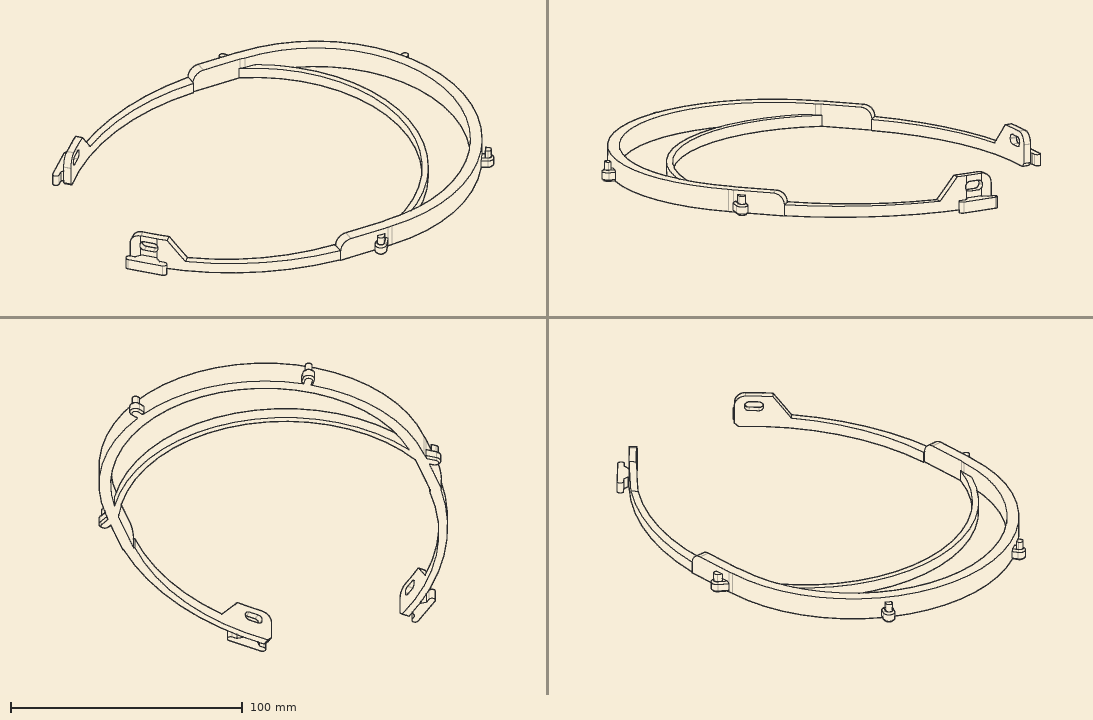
import cadquery as cq
import math

overall_length = 181.8

band_height = 10.0
low_height = band_height / 2
ear_height = 15.0

band_outer_radius = 71.8
band_center_y = overall_length / 2 - band_outer_radius
band_inner_radius = 66.7
arm_outer_x = 72.0
arm_inner_x = 67.0
arm_start_y = 16.9
arm_end_y = -6.0
arm_end_fillet = band_height - low_height

strap_center_y = -10.7
strap_outer_radius = 75.0
strap_inner_radius = 72.3

temple_outer_center = (-48.9, 3.0)
temple_outer_radius = 120.9
temple_inner_center = (-40.0, -3.8)
temple_inner_radius = 106.5

ear_slope_start = 14.9
ear_slope_end = 22.9
ear_end = 39.6
ear_top_fillet = 4.9
ear_bottom_chamfer = 1.8
seat_outward = 84.0

slot_length = 8.2
slot_height = 4.4
slot_center_z = 10.0
slot_corner_radius = 2.0

hook_center = 31.0
hook_outer_face = 89.0
prong_thickness = 2.9
prong_radius = prong_thickness / 2
prong_end = math.sqrt(2) * (overall_length / 2 - prong_radius) - (hook_outer_face - prong_radius)
hook_length = 2 * (prong_end + prong_radius - hook_center)
neck_width = 7.5
neck_straight = 0.4

front_pin_center = (39.0, 82.5)
front_pin_angle = -119
side_pin_center = (74.5, 12.2)
side_pin_angle = 145
pin_base_radius = 2.5
pin_base_chamfer = 0.9
peg_radius = 1.5
peg_top = 8.5
peg_gap = 1.6
pin_reach = 5.5
pin_embed = 1.8

tip_direction = cq.Vector(-1, -1, 0).normalized()
outward_direction = cq.Vector(1, -1, 0).normalized()
tip_plane = cq.Plane(origin=(0, 0, 0), xDir=tip_direction, normal=(0, 0, 1))
side_plane = cq.Plane(origin=(0, 0, 0), xDir=tip_direction, normal=outward_direction.multiply(-1))


def circle_x(center, radius, y):
    """X of the +X side of a circle at the given Y."""
    return center[0] + math.sqrt(radius**2 - (y - center[1]) ** 2)


def tip_point(center, radius, along):
    """Point where a circle reaches a distance along the tip direction, on its outward side."""
    center_vector = cq.Vector(*center, 0)
    offset = along - center_vector.dot(tip_direction)
    outward = center_vector.dot(outward_direction) + math.sqrt(radius**2 - offset**2)
    point = tip_direction.multiply(along) + outward_direction.multiply(outward)
    return point.x, point.y


def arc_middle(center, radius, start, end):
    """Point on a circle halfway between two of its points."""
    start_angle = math.atan2(start[1] - center[1], start[0] - center[0])
    end_angle = math.atan2(end[1] - center[1], end[0] - center[0])
    angle = (start_angle + end_angle) / 2
    return center[0] + radius * math.cos(angle), center[1] + radius * math.sin(angle)


def band_outline(radius, arm_x):
    """Closed half-round outline with straight arms."""
    return (
        cq.Workplane("XY")
        .moveTo(arm_x, arm_end_y)
        .lineTo(arm_x, arm_start_y)
        .lineTo(radius, band_center_y)
        .threePointArc((0, band_center_y + radius), (-radius, band_center_y))
        .lineTo(-arm_x, arm_start_y)
        .lineTo(-arm_x, arm_end_y)
        .close()
    )


def make_band():
    """Half ring and arms, rounded at the top of each arm's end."""
    outside = band_outline(band_outer_radius, arm_outer_x).extrude(band_height)
    inside = band_outline(band_inner_radius, arm_inner_x).extrude(band_height)
    band = outside.cut(inside)
    return band.faces("<Y").edges(">Z").fillet(arm_end_fillet)


def make_strap():
    """Thin arc whose ends run into the middle of the band wall."""
    ring = (
        cq.Workplane("XY")
        .center(0, strap_center_y)
        .circle(strap_outer_radius)
        .circle(strap_inner_radius)
        .extrude(low_height)
    )
    middle_radius = (band_outer_radius + band_inner_radius) / 2
    middle_arm_x = (arm_outer_x + arm_inner_x) / 2
    inside = band_outline(middle_radius, middle_arm_x).extrude(low_height)
    return ring.intersect(inside)


def temple_prism(height):
    """Tapering strip from the arm's end to the tip."""
    outer_start = (circle_x(temple_outer_center, temple_outer_radius, arm_end_y), arm_end_y)
    inner_start = (circle_x(temple_inner_center, temple_inner_radius, arm_end_y), arm_end_y)
    outer_end = tip_point(temple_outer_center, temple_outer_radius, ear_end)
    inner_end = tip_point(temple_inner_center, temple_inner_radius, ear_end)
    outer_middle = arc_middle(temple_outer_center, temple_outer_radius, outer_start, outer_end)
    inner_middle = arc_middle(temple_inner_center, temple_inner_radius, inner_end, inner_start)
    return (
        cq.Workplane("XY")
        .moveTo(*outer_start)
        .threePointArc(outer_middle, outer_end)
        .lineTo(*inner_end)
        .threePointArc(inner_middle, inner_start)
        .close()
        .extrude(height)
    )


def make_temple():
    """Temple strip with its raised ear plate, seat and slot, on the +X side."""
    reach = hook_outer_face
    profile = (
        cq.Workplane(side_plane)
        .moveTo(-reach, 0)
        .lineTo(-reach, low_height)
        .lineTo(ear_slope_start, low_height)
        .lineTo(ear_slope_end, ear_height)
        .lineTo(ear_end - ear_top_fillet, ear_height)
        .radiusArc((ear_end, ear_height - ear_top_fillet), ear_top_fillet)
        .lineTo(ear_end, ear_bottom_chamfer)
        .lineTo(ear_end - ear_bottom_chamfer, 0)
        .close()
        .extrude(2 * reach, both=True)
    )
    temple = temple_prism(ear_height).intersect(profile)
    seat_clearance = hook_outer_face - seat_outward
    seat = (
        cq.Workplane(tip_plane)
        .center(hook_center, seat_outward + seat_clearance / 2)
        .rect(neck_width, seat_clearance)
        .extrude(ear_height)
    )
    slot = (
        cq.Workplane(side_plane)
        .center(hook_center, slot_center_z)
        .rect(slot_length, slot_height)
        .extrude(-hook_outer_face)
        .edges("|(1,-1,0)")
        .fillet(slot_corner_radius)
    )
    return temple.cut(seat).cut(slot)


def make_pin(center, angle):
    """Peg standing on a rounded base that reaches into the band."""

    def finger(radius, height):
        block = cq.Workplane("XY").center(pin_reach / 2, 0).rect(pin_reach, 2 * radius).extrude(height)
        return block.union(cq.Workplane("XY").circle(radius).extrude(height))

    def place(shape):
        return shape.rotate((0, 0, 0), (0, 0, 1), angle).translate((*center, 0))

    base = place(finger(pin_base_radius, low_height).faces("<Z or >Z").chamfer(pin_base_chamfer))
    peg = place(finger(peg_radius, peg_top))
    clearance = band_outline(band_outer_radius + peg_gap, arm_outer_x + peg_gap).extrude(peg_top)
    band_core = band_outline(band_outer_radius - pin_embed, arm_outer_x - pin_embed).extrude(peg_top)
    return base.cut(band_core).union(peg.cut(clearance))


def make_clip():
    """T-shaped hook with two round-ended prongs, on the +X side."""
    prong_inner_face = hook_outer_face - prong_thickness
    bar = (
        cq.Workplane(tip_plane)
        .center(hook_center, hook_outer_face - prong_radius)
        .slot2D(hook_length, prong_thickness)
        .extrude(low_height)
    )
    half_neck = neck_width / 2
    flare_start = seat_outward + neck_straight
    half_flare = half_neck + prong_inner_face - flare_start
    neck = (
        cq.Workplane(tip_plane)
        .moveTo(hook_center - half_neck, seat_outward)
        .lineTo(hook_center + half_neck, seat_outward)
        .lineTo(hook_center + half_neck, flare_start)
        .lineTo(hook_center + half_flare, prong_inner_face)
        .lineTo(hook_center + half_flare, hook_outer_face)
        .lineTo(hook_center - half_flare, hook_outer_face)
        .lineTo(hook_center - half_flare, prong_inner_face)
        .lineTo(hook_center - half_neck, flare_start)
        .close()
        .extrude(low_height)
    )
    return bar.union(neck).solids()


def make_frame():
    """Band, forehead strap, temples and pins in one solid."""
    frame = make_band().union(make_strap())
    front_pin = make_pin(front_pin_center, front_pin_angle)
    side_pin = make_pin(side_pin_center, side_pin_angle)
    for part in (make_temple(), front_pin, side_pin):
        frame = frame.union(part).union(part.mirror("YZ"))
    return frame.solids()


def make_clips():
    """The +X clip and its mirror image."""
    right_clip = make_clip()
    return [right_clip, right_clip.mirror("YZ").solids()]


frame = make_frame()
clips = make_clips()
result = cq.Compound.makeCompound([frame.val(), *[clip.val() for clip in clips]])